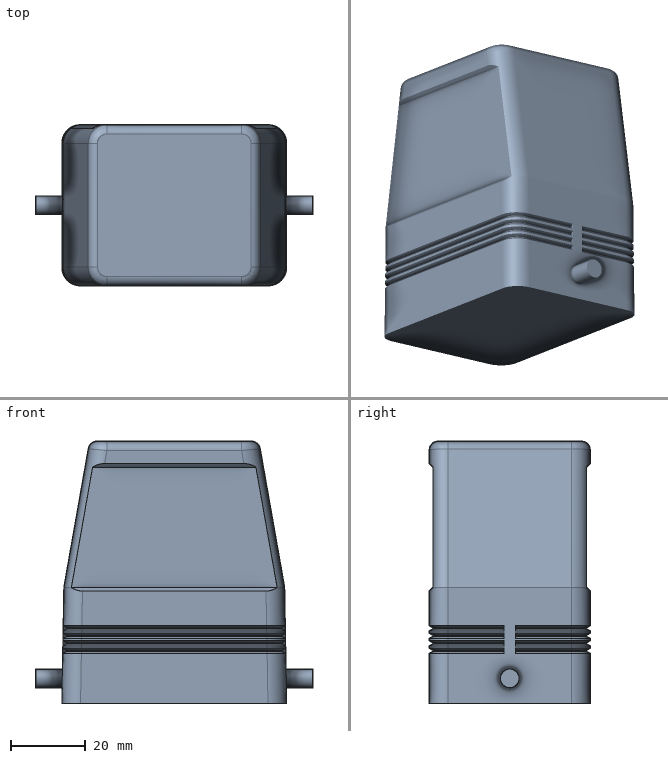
import cadquery as cq
import math

base_width = 60.0
depth = 43.0
height = 70.0
shoulder_z = 31.0
lower_draft = 1.0
upper_draft = 10.0
corner_radius = 5.0
top_radius = 2.5

recess_depth = 1.0
recess_bottom_z = shoulder_z
recess_top_z = 63.0

groove_count = 4
groove_pitch = 2.0
groove_width = 1.4
groove_depth = 1.0
groove_flank_angle = 30.0
first_groove_z = 14.05
groove_gap = 3.0

pin_diameter = 5.0
pin_span = 74.0
pin_z = 6.7

clearance = 2.0


def body_width(z):
    """X size of the lower body at height z."""
    return base_width - 2 * z * math.tan(math.radians(lower_draft))


def make_body():
    """Tapered block with rounded corners and a rounded top."""
    shoulder_width = body_width(shoulder_z)
    upper_inset = (height - shoulder_z) * math.tan(math.radians(upper_draft))
    top_width = shoulder_width - 2 * upper_inset
    body = (
        cq.Workplane("XZ")
        .moveTo(-base_width / 2, 0)
        .lineTo(base_width / 2, 0)
        .lineTo(shoulder_width / 2, shoulder_z)
        .lineTo(top_width / 2, height)
        .lineTo(-top_width / 2, height)
        .lineTo(-shoulder_width / 2, shoulder_z)
        .close()
        .extrude(depth / 2, both=True)
    )
    body = body.edges("#Y and (not |X)").fillet(corner_radius)
    return body.faces(">Z").edges().fillet(top_radius)


def make_panel_recess(side):
    """Cutter for the recess on the face at side * Y, flared outward at 45 degrees."""
    outer_y = side * (depth / 2 + clearance)
    floor_y = side * (depth / 2 - recess_depth)
    flare = recess_depth + clearance
    return (
        cq.Workplane("YZ")
        .moveTo(floor_y, recess_bottom_z)
        .lineTo(outer_y, recess_bottom_z - flare)
        .lineTo(outer_y, recess_top_z + flare)
        .lineTo(floor_y, recess_top_z)
        .close()
        .extrude(base_width / 2, both=True)
    )


def make_groove(z):
    """Ring-shaped cutter at height z, left open at the middle of each end face."""
    width = body_width(z)
    flank_height = groove_depth * math.tan(math.radians(groove_flank_angle))
    ring = cq.Workplane("XY").box(width + clearance, depth + clearance, groove_width)
    for direction in (1, -1):
        flank = (
            cq.Workplane("XY")
            .workplane(offset=-direction * groove_width / 2)
            .sketch()
            .rect(width, depth)
            .vertices()
            .fillet(corner_radius)
            .finalize()
            .extrude(direction * flank_height, taper=90 - groove_flank_angle)
        )
        ring = ring.cut(flank)
    floor = (
        cq.Workplane("XY")
        .box(width - 2 * groove_depth, depth - 2 * groove_depth, groove_width)
        .edges("|Z")
        .fillet(corner_radius - groove_depth)
    )
    rib = cq.Workplane("XY").box(base_width + clearance, groove_gap, groove_width)
    return ring.cut(floor).cut(rib).translate((0, 0, z))


def make_pins():
    """Round pin through the body, standing out at both ends."""
    return (
        cq.Workplane("YZ")
        .center(0, pin_z)
        .circle(pin_diameter / 2)
        .extrude(pin_span / 2, both=True)
    )


result = make_body()
for side in (-1, 1):
    result = result.cut(make_panel_recess(side))
for index in range(groove_count):
    result = result.cut(make_groove(first_groove_z + index * groove_pitch))
result = result.union(make_pins())